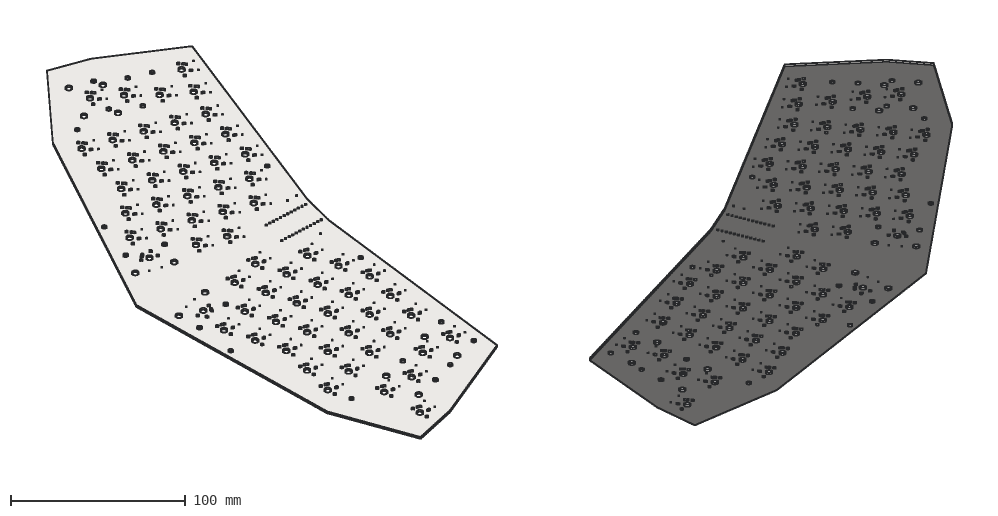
import cadquery as cq
import math


thickness = 1.6
width = 362.0
depth = 147.5
plate_right_half = [
    (10.5, 129.0),
    (147.5, depth),
    (173.7, 95.2),
    (width / 2, 69.0),
    (133.0, 38.0),
]

column_length = 95.2
key_pitch = column_length / 5
grid = key_pitch / 15
tilt = 15.0
lead_column = 2
lead_row = 3.5
lead_key = (80.0, 47.8)

columns = [
    (0.0, (0, 1, 2, 3, 4)),
    (0.25, (0, 1, 2, 3, 4)),
    (0.5, (0, 1, 2, 3, 4)),
    (0.25, (0, 1, 2, 3, 4)),
    (0.0, (0, 1, 2, 3, 4)),
    (-0.25, (1, 2)),
]
outer_keys_left = [
    (1.0, 0, False),
    (2.0, 0, False),
    (1.25, 1, False),
    (1.625, 2, True),
    (1.875, 3, True),
]
outer_keys_right = [
    (1.5, 0, True),
    (1.25, 1, False),
    (1.625, 2, True),
    (1.375, 3, False),
    (2.75, 3, False),
]
thumb_column = 5
thumb_row = 3.75
thumb_turn = 90

stem_diameter = 4.0
peg_diameter = 1.7
pin_diameter = 1.5
diode_pin_diameter = 0.7
peg_x = 4
left_pin = ((-3, 2), (-2.3, 3.1))
right_pin = ((2, 4), (2, 3.5))
diode_x = 3
diode_y = 7
thumb_diode_y = -7.5

stabilizer_x = 12.0
stabilizer_wire_y = 7.0
stabilizer_clip_y = -8.5
stabilizer_wire_diameter = 3.05
stabilizer_clip_diameter = 4.0

header_pins = 12
header_pitch = 2 * grid
header_half_width = 6 * grid
header_top = 125.5
header_pin_diameter = 1.0

loose_pins = [(-16.3, 125.5), (-16.3, 119.0), (16.3, 118.7)]
loose_pin_diameter = 0.9
mounting_holes_right = [(144.5, 117.0), (45.2, 126.0), (133.0, 55.5), (61.0, 22.0)]
mounting_diameter = 2.8


def turned(point, degrees):
    """Point turned about the origin."""
    angle = math.radians(degrees)
    x, y = point
    return (x * math.cos(angle) - y * math.sin(angle), x * math.sin(angle) + y * math.cos(angle))


def placed(point, centre, degrees):
    """Point of a footprint, moved to its place on the plate."""
    x, y = turned(point, degrees)
    return (centre[0] + x, centre[1] + y)


def on_grid(step):
    """Point given in steps of the hole grid."""
    return (step[0] * grid, step[1] * grid)


def drill(point, diameter):
    """Rim of a round hole."""
    return cq.Wire.makeCircle(diameter / 2, cq.Vector(*point), cq.Vector(0, 0, 1))


def slot(start, end, diameter):
    """Rim of a round-ended slot between two end centres."""
    middle_x = (start[0] + end[0]) / 2
    middle_y = (start[1] + end[1]) / 2
    dx = end[0] - start[0]
    dy = end[1] - start[1]
    length = math.hypot(dx, dy) + diameter
    angle = math.degrees(math.atan2(dy, dx))
    return cq.Workplane().center(middle_x, middle_y).slot2D(length, diameter, angle).val()


def key_centre(side, across, row):
    """Switch centre from its place in key pitches: inward from the first column, down from its top."""
    inward = (across - lead_column) * key_pitch
    up = (lead_row - row) * key_pitch
    step = turned((-inward, up), tilt)
    return (side * (lead_key[0] + step[0]), lead_key[1] + step[1])


def switch_cuts(centre, turn, diode_pin_y):
    """Stem, pegs and pin slots of one switch, and the pin holes of its diode."""
    cuts = [drill(centre, stem_diameter)]
    for sign in (-1, 1):
        peg = placed(on_grid((sign * peg_x, 0)), centre, turn)
        diode_pin = placed(on_grid((sign * diode_x, diode_pin_y)), centre, turn)
        cuts.append(drill(peg, peg_diameter))
        cuts.append(drill(diode_pin, diode_pin_diameter))
    for start, end in (left_pin, right_pin):
        slot_start = placed(on_grid(start), centre, turn)
        slot_end = placed(on_grid(end), centre, turn)
        cuts.append(slot(slot_start, slot_end, pin_diameter))
    return cuts


def stabilizer_cuts(centre, turn):
    """Wire and clip holes at both ends of a wide key."""
    cuts = []
    for x in (-stabilizer_x, stabilizer_x):
        cuts.append(drill(placed((x, stabilizer_wire_y), centre, turn), stabilizer_wire_diameter))
        cuts.append(drill(placed((x, stabilizer_clip_y), centre, turn), stabilizer_clip_diameter))
    return cuts


def half_cuts(side, outer_keys):
    """All key cuts of one half; side is -1 for the left half and 1 for the right."""
    turn = side * tilt
    cuts = []
    for across, (height, rows) in enumerate(columns):
        for row in rows:
            cuts += switch_cuts(key_centre(side, across, row - height), turn, diode_y)
    for outward, row, stabilized in outer_keys:
        centre = key_centre(side, -outward, row)
        cuts += switch_cuts(centre, turn, diode_y)
        if stabilized:
            cuts += stabilizer_cuts(centre, turn)
    thumb = key_centre(side, thumb_column, thumb_row)
    upright = turn - side * thumb_turn
    cuts += switch_cuts(thumb, upright, thumb_diode_y)
    cuts += stabilizer_cuts(thumb, upright)
    return cuts


def header_cuts():
    """Two rows of pin holes beside the centre line."""
    cuts = []
    for x in (-header_half_width, header_half_width):
        for pin in range(header_pins):
            cuts.append(drill((x, header_top - pin * header_pitch), header_pin_diameter))
    return cuts


def loose_cuts():
    """Button pin holes, and the mounting holes of both halves."""
    cuts = [drill(point, loose_pin_diameter) for point in loose_pins]
    for x, y in mounting_holes_right:
        cuts.append(drill((x, y), mounting_diameter))
        cuts.append(drill((-x, y), mounting_diameter))
    return cuts


plate_left_half = [(-x, y) for x, y in reversed(plate_right_half)]
plate_corners = [(0, 0)] + plate_right_half[::-1] + plate_left_half[::-1]
outline = cq.Workplane().polyline(plate_corners).close().val()

cuts = half_cuts(-1, outer_keys_left) + half_cuts(1, outer_keys_right) + header_cuts() + loose_cuts()
plate_face = cq.Face.makeFromWires(outline, cuts)
result = cq.Workplane(cq.Solid.extrudeLinear(plate_face, cq.Vector(0, 0, thickness)))